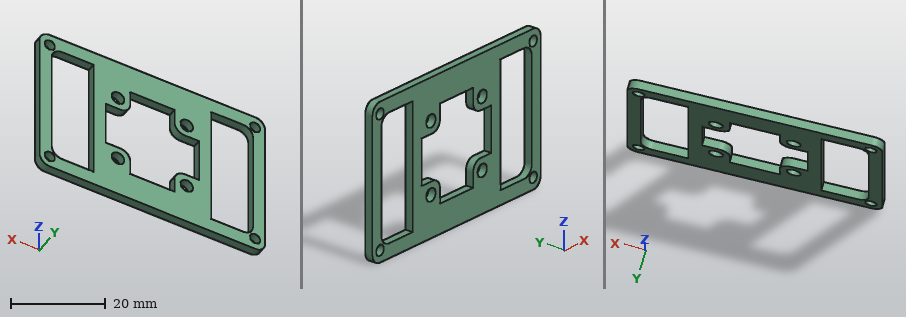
import cadquery as cq

length = 55.6
height = 37.0
thickness = 2.0
corner_radius = 2.5

window_inner_x = 14.5
window_outer_x = 24.8
window_height = 30.0
window_radius = 2.5

opening_size = 22.95
opening_gap = 10.9
ear_radius = 2.5

ear_hole_diameter = 3.05
ear_hole_spacing = 16.95
corner_hole_diameter = 2.5
corner_hole_spacing_x = 50.6
corner_hole_spacing_z = 31.3


def block(size_x, size_z):
    """Centred block as thick as the plate."""
    return cq.Workplane("XY").box(size_x, thickness, size_z)


def side_window(side):
    """Window at side -1 or +1, rounded only at its outer corners."""
    width = window_outer_x - window_inner_x
    center_x = side * (window_inner_x + window_outer_x) / 2
    outer_edges = "|Y and >X" if side > 0 else "|Y and <X"
    window = block(width, window_height).edges(outer_edges).fillet(window_radius)
    return window.translate((center_x, 0, 0))


def central_opening():
    """Square opening less four ears, each with a rounded inner corner."""
    ear_size = (opening_size - opening_gap) / 2
    ear_offset = (opening_size - ear_size) / 2
    opening = block(opening_size, opening_size)
    for side_x in (-1, 1):
        for side_z in (-1, 1):
            edge_x = "<X" if side_x > 0 else ">X"
            edge_z = "<Z" if side_z > 0 else ">Z"
            ear = block(ear_size, ear_size)
            ear = ear.edges(f"|Y and {edge_x} and {edge_z}").fillet(ear_radius)
            opening = opening.cut(ear.translate((side_x * ear_offset, 0, side_z * ear_offset)))
    return opening


def four_holes(diameter, spacing_x, spacing_z):
    """Cylinders through the plate at the corners of a rectangle."""
    return (
        cq.Workplane("XZ")
        .rect(spacing_x, spacing_z, forConstruction=True)
        .vertices()
        .circle(diameter / 2)
        .extrude(thickness / 2, both=True)
    )


plate = block(length, height).edges("|Y").fillet(corner_radius)
for side in (-1, 1):
    plate = plate.cut(side_window(side))
plate = plate.cut(central_opening())
plate = plate.cut(four_holes(ear_hole_diameter, ear_hole_spacing, ear_hole_spacing))
plate = plate.cut(four_holes(corner_hole_diameter, corner_hole_spacing_x, corner_hole_spacing_z))

result = plate